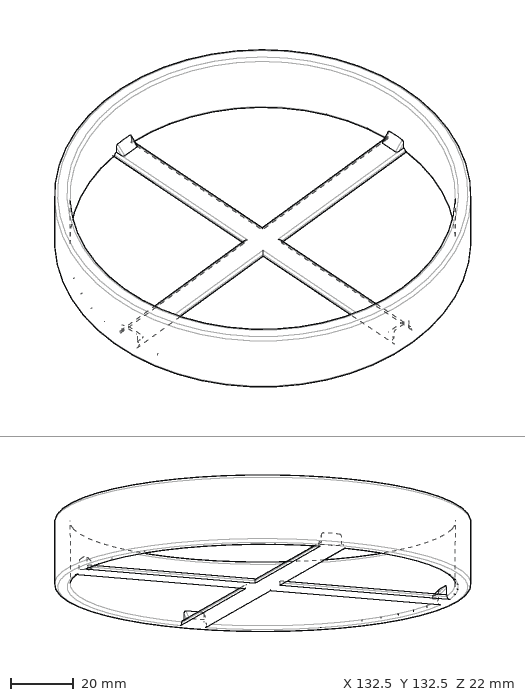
import cadquery as cq

outer_diameter = 132.5
inner_diameter = 122.5
ring_height = 22.0
ring_edge_radius = 1.0

spoke_width = 8.5
spoke_thickness = 1.6
spoke_edge_radius = 0.8

gusset_width = spoke_width - 2 * spoke_edge_radius
gusset_run = 3.2
gusset_edge_radius = 0.7
gusset_spacing_angle = 90

inner_radius = inner_diameter / 2
wall_thickness = (outer_diameter - inner_diameter) / 2
wall_middle_radius = inner_radius + wall_thickness / 2


def make_ring():
    """Plain ring with all four circular edges rounded."""
    ring = cq.Workplane("XY").circle(outer_diameter / 2).circle(inner_radius).extrude(ring_height)
    return ring.edges("%CIRCLE").fillet(ring_edge_radius)


def make_spokes():
    """Flat cross with rounded top edges; its ends are buried in the ring wall."""
    length = 2 * wall_middle_radius
    along_x = cq.Workplane("XY").rect(length, spoke_width).extrude(spoke_thickness)
    along_y = cq.Workplane("XY").rect(spoke_width, length).extrude(spoke_thickness)
    cross = along_x.union(along_y)
    return cross.faces(">Z").edges().fillet(spoke_edge_radius)


def make_gusset():
    """45 degree wedge on the +X spoke, with its two sloping edges rounded."""
    foot = inner_radius - gusset_run
    buried_end = wall_middle_radius
    wedge_top = spoke_thickness + gusset_run
    wedge = (
        cq.Workplane("XZ")
        .moveTo(foot, spoke_thickness)
        .lineTo(inner_radius, wedge_top)
        .lineTo(buried_end, wedge_top)
        .lineTo(buried_end, 0)
        .lineTo(foot, 0)
        .close()
        .extrude(gusset_width / 2, both=True)
    )
    slope_direction = cq.Vector(1, 0, 1)
    sloping_edges = wedge.edges(cq.selectors.ParallelDirSelector(slope_direction))
    return sloping_edges.fillet(gusset_edge_radius)


result = make_ring().union(make_spokes())
gusset = make_gusset()
for angle in range(0, 360, gusset_spacing_angle):
    result = result.union(gusset.rotate((0, 0, 0), (0, 0, 1), angle))